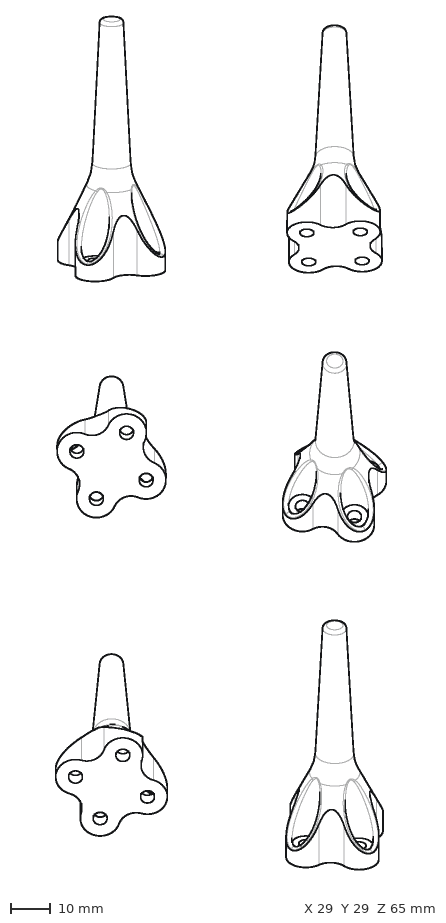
import cadquery as cq
import math

height = 65.0
base_reach = 14.5
lobe_radius = 5.0
lobe_count = 4
lobe_offset = base_reach - lobe_radius
valley_radius = lobe_offset - lobe_radius

tip_radius = 3.0
tip_fillet = 1.0
stem_bottom_radius = 5.0
stem_bottom_z = 24.0
neck_blend_radius = 15.0
flare_lip_z = 4.2
flare_slope = (base_reach - stem_bottom_radius) / (stem_bottom_z - flare_lip_z)
flare_foot_radius = base_reach + flare_slope * flare_lip_z
seam_angle = 180 / lobe_count

hole_diameter = 3.5
seat_diameter = 7.0
seat_z = 4.0
rim_fillet = 0.7


def make_body():
    """Tapered stem that flares out into a cone, wider at the foot than the lobes."""
    body = (
        cq.Workplane("XZ")
        .lineTo(0, height)
        .lineTo(tip_radius, height)
        .lineTo(stem_bottom_radius, stem_bottom_z)
        .lineTo(flare_foot_radius, 0)
        .close()
        .revolve(360, (0, 0), (0, 1))
        .rotate((0, 0, 0), (0, 0, 1), seam_angle)
    )
    body = body.faces(">Z").edges().fillet(tip_fillet)
    neck_margin = 0.65
    neck = cq.selectors.BoxSelector(
        (-neck_margin, -neck_margin, stem_bottom_z - neck_margin),
        (neck_margin, neck_margin, stem_bottom_z + neck_margin),
    )
    return body.edges("%CIRCLE").edges(neck).fillet(neck_blend_radius)


def make_lobed_prism():
    """Four round lobes joined by concave valleys tangent to them."""
    valley = lobe_offset - valley_radius / math.sqrt(2)
    start = cq.Vector(lobe_offset, -lobe_radius)
    lobe_crest = cq.Vector(base_reach, 0)
    lobe_end = cq.Vector(lobe_offset, lobe_radius)
    valley_middle = cq.Vector(valley, valley)
    valley_end = cq.Vector(lobe_radius, lobe_offset)

    outline = cq.Workplane("XY").moveTo(start.x, start.y)
    for i in range(lobe_count):
        angle = 360 * i / lobe_count
        outline = outline.threePointArc(turned(lobe_crest, angle), turned(lobe_end, angle))
        outline = outline.threePointArc(turned(valley_middle, angle), turned(valley_end, angle))
    return outline.close().extrude(height)


def turned(point, angle):
    """Point turned about the part's axis by an angle in degrees."""
    c = math.cos(math.radians(angle))
    s = math.sin(math.radians(angle))
    return (point.x * c - point.y * s, point.x * s + point.y * c)


def lobe_cylinders(diameter, bottom_z):
    """One upright cylinder over each lobe centre."""
    return (
        cq.Workplane("XY", origin=(0, 0, bottom_z))
        .polarArray(lobe_offset, 0, 360, lobe_count)
        .circle(diameter / 2)
        .extrude(height)
    )


def round_seat_rims(part):
    """Round the slanted edge where each seat breaks out through the flare."""
    seat_walls = [face for face in part.faces("%CYLINDER").vals() if is_seat_wall(face)]
    rims = []
    for wall in seat_walls:
        rims += [edge for edge in wall.Edges() if edge.geomType() not in ("LINE", "CIRCLE")]
    return part.newObject(rims).fillet(rim_fillet)


def is_seat_wall(face):
    """Seat walls are the only upright cylinders that start at the seat floor."""
    tolerance = 0.05
    return abs(face.BoundingBox().zmin - seat_z) < tolerance


result = make_body().intersect(make_lobed_prism())
result = result.cut(lobe_cylinders(seat_diameter, seat_z))
result = round_seat_rims(result)
result = result.cut(lobe_cylinders(hole_diameter, 0))